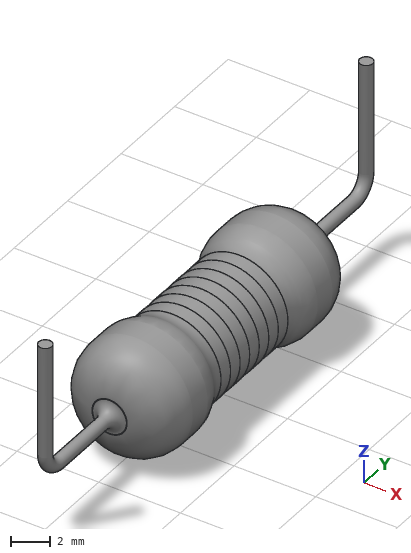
import cadquery as cq
import math

overall_length = 30.8
overall_height = 11.6
cap_radius = 7.0 / 2
barrel_radius = 5.95 / 2
band_radius = 5.98 / 2
lead_radius = 0.8 / 2

body_half_length = 9.0
cap_round_radius = 2.45
cap_straight_length = 1.4
lead_fillet_radius = 0.68
bend_radius = 1.23
band_width = 0.9
band_count = 4

lead_y = overall_length / 2 - lead_radius
lead_top_z = overall_height - cap_radius

barrel_half_length = (2 * band_count - 1) * band_width / 2
cap_outer_y = body_half_length - cap_round_radius
cap_inner_y = cap_outer_y - cap_straight_length
neck_middle_y = (cap_inner_y + barrel_half_length) / 2
neck_middle_radius = (cap_radius + barrel_radius) / 2
neck_half_length = cap_inner_y - neck_middle_y
neck_half_drop = cap_radius - neck_middle_radius
neck_arc_radius = (neck_half_length**2 + neck_half_drop**2) / (2 * neck_half_drop)


def make_half_body():
    """Revolved half of the body on the +Y side, with the fillet onto the lead."""
    diagonal = math.sqrt(0.5)
    half_arc_angle = math.asin(neck_half_length / neck_arc_radius) / 2
    arc_run = neck_arc_radius * math.sin(half_arc_angle)
    arc_drop = neck_arc_radius * (1 - math.cos(half_arc_angle))
    round_center_radius = cap_radius - cap_round_radius
    fillet_end_y = body_half_length + lead_fillet_radius
    fillet_center_radius = lead_radius + lead_fillet_radius
    profile = (
        cq.Workplane("XY")
        .lineTo(barrel_radius, 0)
        .lineTo(barrel_radius, barrel_half_length)
        .threePointArc(
            (barrel_radius + arc_drop, barrel_half_length + arc_run),
            (neck_middle_radius, neck_middle_y),
        )
        .threePointArc(
            (cap_radius - arc_drop, cap_inner_y - arc_run),
            (cap_radius, cap_inner_y),
        )
        .lineTo(cap_radius, cap_outer_y)
        .threePointArc(
            (
                round_center_radius + cap_round_radius * diagonal,
                cap_outer_y + cap_round_radius * diagonal,
            ),
            (round_center_radius, body_half_length),
        )
        .lineTo(fillet_center_radius, body_half_length)
        .threePointArc(
            (
                fillet_center_radius - lead_fillet_radius * diagonal,
                fillet_end_y - lead_fillet_radius * diagonal,
            ),
            (lead_radius, fillet_end_y),
        )
        .lineTo(0, fillet_end_y)
        .close()
    )
    return profile.revolve(360, (0, 0, 0), (0, 1, 0))


def make_band(start_y):
    """Slightly raised colour band starting at start_y."""
    disc = cq.Workplane("XZ", origin=(0, start_y, 0)).circle(band_radius)
    return disc.extrude(-band_width)


def make_lead():
    """Bent wire on the +Y side, starting at the middle of the body."""
    bend_start_y = lead_y - bend_radius
    path = (
        cq.Workplane("YZ")
        .lineTo(bend_start_y, 0)
        .radiusArc((lead_y, bend_radius), -bend_radius)
        .lineTo(lead_y, lead_top_z)
    )
    return cq.Workplane("XZ").circle(lead_radius).sweep(path)


half_resistor = make_half_body().union(make_lead())
other_half = half_resistor.rotate((0, 0, 0), (0, 0, 1), 180)
result = half_resistor.union(other_half)
for band_index in range(band_count):
    result = result.union(make_band(2 * band_width * band_index - barrel_half_length))
result = result.clean()